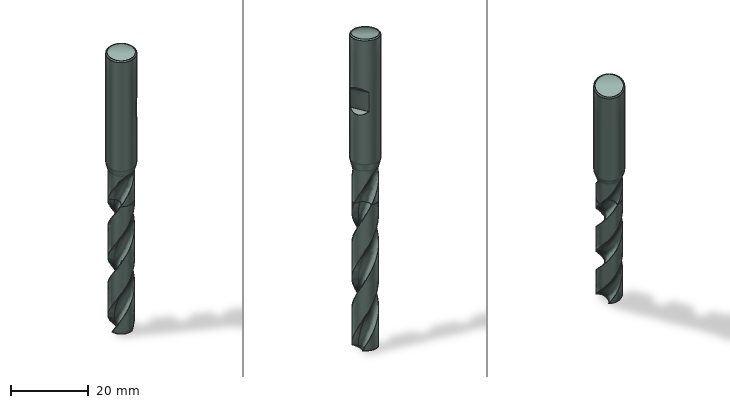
import cadquery as cq
import math

overall_length = 91.0
shank_diameter = 8.0
drill_diameter = 6.9
flute_length = 53.0
cutting_length = 43.0
shank_radius = shank_diameter / 2
drill_radius = drill_diameter / 2

point_angle = 140.0
point_height = drill_radius / math.tan(math.radians(point_angle / 2))

taper_half_angle = 15.0
taper_height = (shank_radius - drill_radius) / math.tan(math.radians(taper_half_angle))
end_chamfer = 0.35

flat_depth = 1.1
flat_length = 5.5
flat_centre_from_end = 18.0

flute_count = 2
helix_angle = 30.0
flute_pitch = math.pi * drill_diameter / math.tan(math.radians(helix_angle))
flute_opening = 82.0
flute_azimuth = -126.0
core_radius = 1.15
crease_radius = 1.82
crease_from_heel = 6.0

cutter_overlap = 0.02
cutter_edge_radius = drill_radius + cutter_overlap
cutter_reach = drill_radius / math.cos(math.radians(flute_opening / 2))
runout_clearance = 0.05
runout_depth = drill_radius - core_radius + runout_clearance
runout_start = flute_length - runout_depth
helix_steps = 8
runout_steps = 4


def polar(radius, angle):
    """Point at an angle in degrees, measured from the +X axis."""
    return (radius * math.cos(math.radians(angle)), radius * math.sin(math.radians(angle)))


def flute_floor(sketch, azimuth, edge_radius):
    """Continue an outline across one flute, from its lip edge to its heel edge."""
    heel = azimuth - flute_opening / 2
    return (
        sketch
        .threePointArc(polar(core_radius, azimuth), polar(crease_radius, heel + crease_from_heel))
        .lineTo(*polar(edge_radius, heel))
    )


def fluted_section(height):
    """Cross-section of the fluted drill at a given height, drawn on that plane."""
    start = flute_azimuth + 360 * height / flute_pitch
    spacing = 360 / flute_count
    half_opening = flute_opening / 2
    sketch = (
        cq.Workplane("XY", origin=(0, 0, height))
        .moveTo(*polar(drill_radius, start + half_opening))
    )
    for index in range(flute_count):
        azimuth = start - index * spacing
        sketch = flute_floor(sketch, azimuth, drill_radius)
        land_middle = azimuth - spacing / 2
        next_lip = azimuth - spacing + half_opening
        sketch = sketch.threePointArc(polar(drill_radius, land_middle), polar(drill_radius, next_lip))
    return sketch.close()


def fluted_bar(bottom, top):
    """Length of fluted drill that follows the helix from one height to another."""
    length = top - bottom
    return fluted_section(bottom).twistExtrude(length, 360 * length / flute_pitch)


def make_cutting_tip():
    """Pointed, fluted front body."""
    point_cone = (
        cq.Workplane("XZ")
        .polyline([(0, 0), (drill_radius, point_height), (0, point_height)])
        .close()
        .revolve(360, (0, 0), (0, 1))
    )
    point = fluted_bar(0, point_height).intersect(point_cone)
    return fluted_bar(point_height, cutting_length).union(point)


def cutter_outline(height, shift):
    """Outline of the first flute at a height, moved outward by a shift and closed outside the drill."""
    half_opening = flute_opening / 2
    outer_half_width = cutter_reach * math.tan(math.radians(half_opening))
    sketch = cq.Workplane("XY").moveTo(*polar(cutter_edge_radius, half_opening))
    outline = (
        flute_floor(sketch, 0, cutter_edge_radius)
        .lineTo(cutter_reach, -outer_half_width)
        .lineTo(cutter_reach, outer_half_width)
        .close()
        .val()
    )
    azimuth = flute_azimuth + 360 * height / flute_pitch
    return outline.translate((shift, 0, height)).rotate((0, 0, 0), (0, 0, 1), azimuth)


def flute_end_cutter():
    """Upper part of the first flute: along the helix, then out of the drill along an arc."""
    step_height = (runout_start - cutting_length) / helix_steps
    outlines = [cutter_outline(cutting_length + step * step_height, 0) for step in range(helix_steps)]
    for step in range(runout_steps + 1):
        turn = math.radians(90 * step / runout_steps)
        height = runout_start + runout_depth * math.sin(turn)
        shift = runout_depth * (1 - math.cos(turn))
        outlines.append(cutter_outline(height, shift))
    return cq.Workplane("XY").add(cq.Solid.makeLoft(outlines))


def cut_clamping_flat(body):
    """Remove the clamping flat and its sloped ends."""
    flat_y = shank_radius - flat_depth
    flat_centre_z = overall_length - flat_centre_from_end
    half_floor = flat_length / 2
    half_mouth = half_floor + flat_depth
    notch = (
        cq.Workplane("YZ")
        .polyline([
            (flat_y, flat_centre_z - half_floor),
            (shank_radius, flat_centre_z - half_mouth),
            (shank_radius, flat_centre_z + half_mouth),
            (flat_y, flat_centre_z + half_floor),
        ])
        .close()
        .extrude(shank_radius, both=True)
    )
    return body.cut(notch)


def make_shank():
    """Rear body: the end of the fluted length, the taper and the clamping shank."""
    blank = (
        cq.Workplane("XZ")
        .polyline([
            (0, cutting_length),
            (drill_radius, cutting_length),
            (drill_radius, flute_length),
            (shank_radius, flute_length + taper_height),
            (shank_radius, overall_length - end_chamfer),
            (shank_radius - end_chamfer, overall_length),
            (0, overall_length),
        ])
        .close()
        .revolve(360, (0, 0), (0, 1))
    )
    cutter = flute_end_cutter()
    for index in range(flute_count):
        blank = blank.cut(cutter.rotate((0, 0, 0), (0, 0, 1), index * 360 / flute_count))
    return cut_clamping_flat(blank)


cutting_tip = make_cutting_tip()
shank = make_shank()

result = cq.Compound.makeCompound([cutting_tip.val(), shank.val()])